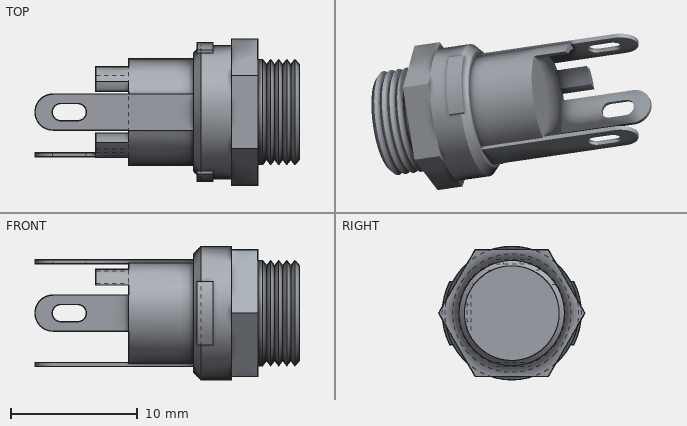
import cadquery as cq
import math

tip_x = 0.0
finger_front_x = 4.79
body_front_x = 7.4
collar_front_x = 12.52
nut_front_x = 15.5
nut_back_x = 17.6
end_x = 20.9

body_radius = 4.22
collar_diameter = 10.55
collar_radius = collar_diameter / 2
collar_chamfer = 0.6

nut_across_corners = 11.55

thread_crest_radius = 4.15
thread_root_radius = 3.75
thread_start_x = 17.97
last_crest_x = 20.52
ridge_count = 4
thread_pitch = (last_crest_x - thread_start_x) / ridge_count

wing_radius = 5.5
wing_height = 5.0
wing_front_x = 12.81
wing_length = 1.25

tab_width = 2.86
tab_thickness = 0.33
slot_length = 2.68
slot_width = 1.34
slot_front_x = 1.38
side_tab_outer_y = -3.53

finger_inner_radius = 3.72
finger_outer_angles = (31.5, 55.2)
finger_inner_angles = (38.9, 64.0)


def disc(radius, start_x, stop_x):
    """Cylinder on the X axis between two stations."""
    return cq.Workplane("YZ", origin=(start_x, 0, 0)).circle(radius).extrude(stop_x - start_x)


def make_collar():
    collar = disc(collar_radius, collar_front_x, nut_front_x)
    return collar.faces("<X").edges().chamfer(collar_chamfer)


def make_nut():
    nut = cq.Workplane("YZ", origin=(nut_front_x, 0, 0)).polygon(6, nut_across_corners)
    return nut.extrude(nut_back_x - nut_front_x)


def make_thread():
    """Revolved saw-tooth profile: a short plain neck followed by the ridges."""
    points = [
        (nut_back_x, 0),
        (nut_back_x, thread_crest_radius),
        (thread_start_x, thread_crest_radius),
    ]
    for ridge in range(1, ridge_count + 1):
        crest_x = thread_start_x + ridge * thread_pitch
        points.append((crest_x - thread_pitch / 2, thread_root_radius))
        points.append((crest_x, thread_crest_radius))
    points.append((end_x, thread_root_radius))
    points.append((end_x, 0))
    return cq.Workplane("XY").polyline(points).close().revolve(360, (0, 0, 0), (1, 0, 0))


def make_wings():
    """Ring around the collar trimmed flat above and below; its front overhangs the collar chamfer."""
    wing_back_x = wing_front_x + wing_length
    ring = disc(wing_radius, wing_front_x, wing_back_x)
    ring = ring.cut(disc(collar_radius, wing_front_x, wing_back_x))
    trim = cq.Workplane("XY").box(2 * end_x, 2 * wing_radius, wing_height)
    return ring.intersect(trim)


def make_tab(stop_x):
    """Flat tab with a rounded tip and a slotted eye, lying on the XY plane."""
    half_width = tab_width / 2
    tab = (
        cq.Workplane("XY")
        .moveTo(stop_x, -half_width)
        .lineTo(tip_x + half_width, -half_width)
        .threePointArc((tip_x, 0), (tip_x + half_width, half_width))
        .lineTo(stop_x, half_width)
        .close()
        .extrude(tab_thickness)
    )
    eye = (
        cq.Workplane("XY")
        .center(slot_front_x + slot_length / 2, 0)
        .slot2D(slot_length, slot_width)
        .extrude(tab_thickness)
    )
    return tab.cut(eye)


def polar(radius, angle):
    return (radius * math.cos(math.radians(angle)), radius * math.sin(math.radians(angle)))


def make_finger():
    """Finger on the +Y side: part of a ring with slanted ends."""
    outer_low, outer_high = finger_outer_angles
    inner_low, inner_high = finger_inner_angles
    return (
        cq.Workplane("YZ", origin=(finger_front_x, 0, 0))
        .moveTo(*polar(body_radius, outer_low))
        .threePointArc(
            polar(body_radius, (outer_low + outer_high) / 2),
            polar(body_radius, outer_high),
        )
        .lineTo(*polar(finger_inner_radius, inner_high))
        .threePointArc(
            polar(finger_inner_radius, (inner_low + inner_high) / 2),
            polar(finger_inner_radius, inner_low),
        )
        .close()
        .extrude(body_front_x - finger_front_x)
    )


result = disc(body_radius, body_front_x, collar_front_x)
result = result.union(make_collar())
result = result.union(make_wings())
result = result.union(make_nut())
result = result.union(make_thread())

long_tab = make_tab(collar_front_x)
result = result.union(long_tab.translate((0, 0, body_radius - tab_thickness)))
result = result.union(long_tab.translate((0, 0, -body_radius)))

side_tab = make_tab(body_front_x).rotate((0, 0, 0), (1, 0, 0), -90)
result = result.union(side_tab.translate((0, side_tab_outer_y, 0)))

finger = make_finger()
result = result.union(finger).union(finger.mirror("XZ"))